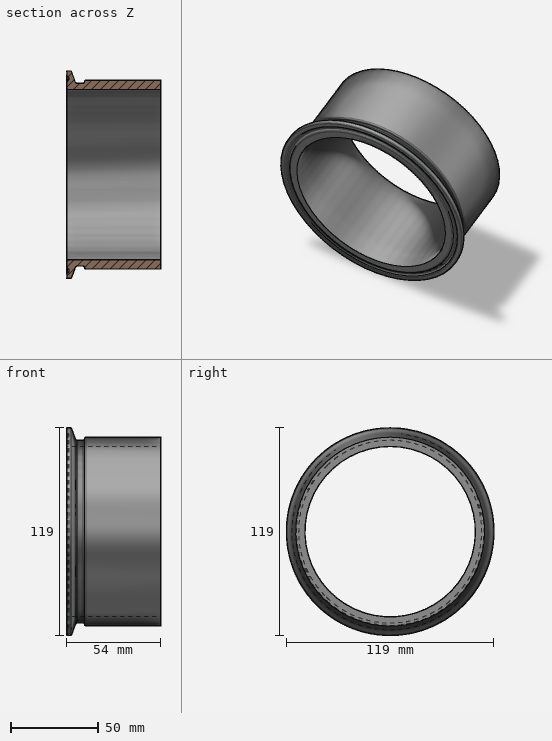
import cadquery as cq
import math

length = 54.0
flange_diameter = 119.0
tube_diameter = 108.2
bore_diameter = 97.4
neck_diameter = 104.8

rim_width = 2.8
taper_angle = 20.0
rim_front_radius = 0.4
rim_back_radius = 0.8
taper_root_radius = 0.9

shoulder_position = 10.25
shoulder_root_radius = 0.8
shoulder_edge_radius = 0.89

groove_diameter = 110.0
groove_width = 2.8
groove_depth = 1.35
groove_lip_radius = 0.8


def make_ring_blank():
    """Revolve the sharp-cornered wall section about the X axis."""
    flange_radius = flange_diameter / 2
    neck_radius = neck_diameter / 2
    taper_length = (flange_radius - neck_radius) * math.tan(math.radians(taper_angle))
    section = (
        cq.Workplane("XZ")
        .moveTo(0, bore_diameter / 2)
        .lineTo(0, flange_radius)
        .lineTo(rim_width, flange_radius)
        .lineTo(rim_width + taper_length, neck_radius)
        .lineTo(shoulder_position, neck_radius)
        .lineTo(shoulder_position, tube_diameter / 2)
        .lineTo(length, tube_diameter / 2)
        .lineTo(length, bore_diameter / 2)
        .close()
    )
    blank = section.revolve(360, (0, 0, 0), (1, 0, 0))
    return blank, rim_width + taper_length


def make_groove_cutter():
    """Ring whose section is a circular segment set into the sealing face."""
    middle = groove_diameter / 2
    half_width = groove_width / 2
    section = (
        cq.Workplane("XZ")
        .moveTo(0, middle - half_width)
        .threePointArc((groove_depth, middle), (0, middle + half_width))
        .close()
    )
    return section.revolve(360, (0, 0, 0), (1, 0, 0))


def round_edge(body, position, diameter, radius):
    """Fillet the circular edge of the given diameter at the given X position."""
    tolerance = 0.01
    edges = [
        edge
        for edge in body.edges("%CIRCLE").vals()
        if abs(edge.Center().x - position) < tolerance
        and abs(2 * edge.radius() - diameter) < tolerance
    ]
    return body.newObject(edges).fillet(radius)


ferrule, taper_end = make_ring_blank()
ferrule = ferrule.cut(make_groove_cutter())

rounded_edges = [
    (0, flange_diameter, rim_front_radius),
    (rim_width, flange_diameter, rim_back_radius),
    (taper_end, neck_diameter, taper_root_radius),
    (shoulder_position, neck_diameter, shoulder_root_radius),
    (shoulder_position, tube_diameter, shoulder_edge_radius),
    (0, groove_diameter - groove_width, groove_lip_radius),
    (0, groove_diameter + groove_width, groove_lip_radius),
]
for position, diameter, radius in rounded_edges:
    ferrule = round_edge(ferrule, position, diameter, radius)

result = ferrule